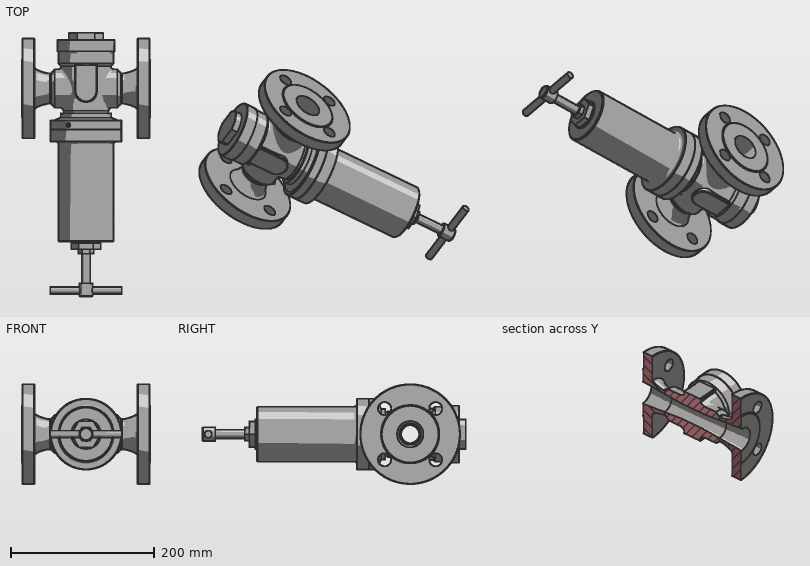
import cadquery as cq
import math


face_to_face = 180.0
flange_dia = 140.0
flange_thickness = 18.0
raised_height = 1.0
raised_dia = 79.0
raised_foot_dia = 82.0
flange_edge = 0.8
bolt_circle_dia = 101.0
bolt_hole_dia = 18.0
bolt_count = 4
bolt_start_angle = 45.0
bore_dia = 25.0
bore_mouth_dia = 37.0
bore_taper_end_x = 20.0
neck_root_dia = 58.0
neck_shoulder_dia = 53.0
neck_shoulder_x = 69.0
neck_dia = 43.0
neck_start_x = 54.0
neck_curve_rise = 1.9
weld_x = 49.8
weld_groove_half_width = 1.2
weld_groove_depth = 0.4

hub_dia = 54.0
hub_start_x = 43.5
hub_fillet = 4.0

body_top_y = 52.0
rim_taper_y = 49.0
rim_dia = 77.4
rim_edge_dia = 78.6
rim_bottom_y = 34.0
rim_chamfer = 1.0
barrel_blend_y = 31.2
barrel_dia = 70.0
waist_top_y = 13.0
waist_dia = 64.0
waist_bottom_y = -20.0
groove_top_y = -31.0
groove_dia = 62.4
collar_top_y = -34.6
collar_dia = 71.0
collar_bottom_y = -40.6
flare_dia = 90.0
joint_flange_dia = 99.5
joint_flange_top_y = -44.5
joint_y = -57.5
joint_top_chamfer = 0.8
joint_line_chamfer = 0.4

pad_height = 36.2
pad_width = 31.0
pad_end_y = -19.0
pad_edge = 1.2

screw_dia = 6.0
screw_length = 8.0
screw_angle = 30.0
screw_y = -51.0
screw_recess = 0.6
screw_hex = 3.0
screw_hex_depth = 2.5

cap_dia = 80.0
cap_top_y = 68.5
cap_chamfer = 0.8
spigot_dia = 48.5
spigot_top_y = 78.0
spigot_flats = 41.6
spigot_chamfer = 0.5

bonnet_flange_bottom_y = -74.5
bonnet_flange_chamfer = 0.8
bonnet_dia = 77.4
bonnet_foot_radius = 3.5
bonnet_bottom_y = -214.5
bonnet_chamfer = 1.6

nut_flats = 36.0
nut_collar_height = 2.0
nut_bottom_y = -225.0
lock_nut_flats = 19.0
lock_nut_bottom_y = -231.0
spindle_dia = 12.5
head_dia = 19.5
head_top_y = -272.4
spindle_bottom_y = -291.0
head_chamfer = 1.5
bar_dia = 10.0
bar_length = 100.0
bar_y = -282.4


def turned(outline):
    """Revolve a closed half-outline in the XY plane about the Y axis."""
    return outline.close().revolve(360, (0, 0, 0), (0, 1, 0))


def rod_y(diameter, start_y, end_y):
    """Round rod along Y between two stations."""
    length = abs(end_y - start_y)
    return cq.Workplane("XZ", origin=(0, max(start_y, end_y), 0)).circle(diameter / 2).extrude(length)


def make_bore():
    """Flow passage through both branches, tapering from each flange face to a straight middle."""
    half = (
        cq.Workplane("XY")
        .moveTo(0, 0)
        .lineTo(0, bore_dia / 2)
        .lineTo(bore_taper_end_x, bore_dia / 2)
        .lineTo(face_to_face / 2, bore_mouth_dia / 2)
        .lineTo(face_to_face / 2, 0)
        .close()
        .revolve(360, (0, 0, 0), (1, 0, 0))
    )
    return half.union(half.mirror("YZ"))


def rod_x(diameter, length):
    """Round rod along X, centred on X = 0, on the pipe axis."""
    return cq.Workplane("YZ").circle(diameter / 2).extrude(length / 2, both=True)


def hexagon(flats, start_y, end_y):
    """Hexagonal bar along Y with two flats facing up and down."""
    corners = flats / math.cos(math.pi / 6)
    return cq.Workplane("XZ", origin=(0, start_y, 0)).polygon(6, corners).extrude(start_y - end_y)


def make_barrel():
    """Waisted middle of the body, running under the rim and down into the collar."""
    down = (0, -1)
    outline = (
        cq.Workplane("XY")
        .moveTo(0, rim_bottom_y)
        .lineTo(rim_dia / 2 - rim_chamfer, rim_bottom_y)
        .lineTo(barrel_dia / 2, barrel_blend_y)
        .lineTo(barrel_dia / 2, waist_top_y)
        .spline([(waist_dia / 2, waist_bottom_y)], tangents=[down, down], includeCurrent=True)
        .lineTo(waist_dia / 2, collar_bottom_y)
        .lineTo(0, collar_bottom_y)
    )
    return turned(outline)


def make_rim():
    """Round rim that carries the end cap."""
    outline = (
        cq.Workplane("XY")
        .moveTo(0, body_top_y)
        .lineTo(rim_edge_dia / 2, body_top_y)
        .lineTo(rim_dia / 2, rim_taper_y)
        .lineTo(rim_dia / 2, rim_bottom_y + rim_chamfer)
        .lineTo(rim_dia / 2 - rim_chamfer, rim_bottom_y)
        .lineTo(0, rim_bottom_y)
    )
    return turned(outline)


def make_joint_end():
    """Collar and flange that meet the bonnet, below a turned groove."""
    flange_r = joint_flange_dia / 2
    outline = (
        cq.Workplane("XY")
        .moveTo(0, groove_top_y)
        .lineTo(groove_dia / 2, groove_top_y)
        .lineTo(groove_dia / 2, collar_top_y)
        .lineTo(collar_dia / 2, collar_top_y)
        .lineTo(collar_dia / 2, collar_bottom_y)
        .lineTo(flare_dia / 2, joint_flange_top_y)
        .lineTo(flange_r - joint_top_chamfer, joint_flange_top_y)
        .lineTo(flange_r, joint_flange_top_y - joint_top_chamfer)
        .lineTo(flange_r, joint_y + joint_line_chamfer)
        .lineTo(flange_r - joint_line_chamfer, joint_y)
        .lineTo(0, joint_y)
    )
    return turned(outline)


def make_pads():
    """Round-ended flat pads on the top and bottom of the barrel."""
    end_radius = pad_width / 2
    straight = rim_bottom_y - (pad_end_y + end_radius)
    pads = (
        cq.Workplane("XY", origin=(0, rim_bottom_y - straight, 0))
        .circle(end_radius)
        .extrude(pad_height, both=True)
    )
    block = cq.Workplane("XY").box(pad_width, straight, 2 * pad_height, centered=(True, False, True))
    pads = pads.union(block.translate((0, rim_bottom_y - straight, 0)))
    return pads.faces(">Z or <Z").chamfer(pad_edge)


def make_hubs():
    """Branch hubs on both sides, coned down to the weld ends of the flanges."""
    tip_r = neck_dia / 2
    groove_x = weld_x - weld_groove_half_width
    half = (
        cq.Workplane("XY")
        .moveTo(0, 0)
        .lineTo(0, hub_dia / 2)
        .lineTo(hub_start_x, hub_dia / 2)
        .lineTo(groove_x, tip_r)
        .lineTo(weld_x, tip_r - weld_groove_depth)
        .lineTo(weld_x, 0)
        .close()
        .revolve(360, (0, 0, 0), (1, 0, 0))
    )
    return half.union(half.mirror("YZ"))


def screw_frame():
    """Workplane on the joint flange, facing outward along the locking screw."""
    angle = math.radians(screw_angle)
    outward = cq.Vector(-math.sin(angle), 0, math.cos(angle))
    centre = outward * (joint_flange_dia / 2) + cq.Vector(0, screw_y, 0)
    return cq.Workplane(cq.Plane(origin=centre, xDir=(0, 1, 0), normal=outward))


def make_body():
    """Valve body: filleted hubs and barrel, then the rim, joint end and pads, bored through."""
    body = make_barrel().union(make_hubs())
    body = body.edges("%BSPLINE").fillet(hub_fillet)
    body = body.cut(rod_y(2 * flange_dia, groove_top_y, joint_y))
    body = body.union(make_joint_end()).union(make_rim()).union(make_pads())
    screw_hole = screw_frame().circle(screw_dia / 2).extrude(-screw_length)
    return body.cut(make_bore()).cut(screw_hole)


def make_flange():
    """Weld-neck flange on the -X side."""
    face_x = face_to_face / 2
    front_x = face_x - raised_height
    back_x = face_x - flange_thickness
    flange_r = flange_dia / 2
    neck_r = neck_dia / 2
    groove_x = weld_x + weld_groove_half_width
    curve_middle = ((neck_start_x + neck_shoulder_x) / 2, neck_r + neck_curve_rise)
    flange = (
        cq.Workplane("XY")
        .moveTo(weld_x, 0)
        .lineTo(weld_x, neck_r - weld_groove_depth)
        .lineTo(groove_x, neck_r)
        .lineTo(neck_start_x, neck_r)
        .threePointArc(curve_middle, (neck_shoulder_x, neck_shoulder_dia / 2))
        .lineTo(back_x, neck_root_dia / 2)
        .lineTo(back_x, flange_r - flange_edge)
        .lineTo(back_x + flange_edge, flange_r)
        .lineTo(front_x - flange_edge, flange_r)
        .lineTo(front_x, flange_r - flange_edge)
        .lineTo(front_x, raised_foot_dia / 2)
        .lineTo(face_x, raised_dia / 2)
        .lineTo(face_x, 0)
        .close()
        .revolve(360, (0, 0, 0), (1, 0, 0))
    )
    bolt_holes = (
        cq.Workplane("YZ")
        .polarArray(bolt_circle_dia / 2, bolt_start_angle, 360, bolt_count)
        .circle(bolt_hole_dia / 2)
        .extrude(face_to_face)
    )
    return flange.cut(bolt_holes).cut(make_bore()).mirror("YZ")


def make_screw():
    """Grub screw locking the body joint, with a hexagon socket."""
    screw = screw_frame().workplane(offset=-screw_recess).circle(screw_dia / 2)
    screw = screw.extrude(screw_recess - screw_length)
    socket = screw_frame().polygon(6, screw_hex / math.cos(math.pi / 6))
    return screw.cut(socket.extrude(-screw_recess - screw_hex_depth))


def make_cap():
    """End cap with a round spigot carrying two spanner flats."""
    cap = rod_y(cap_dia, body_top_y, cap_top_y).faces(">Y").chamfer(cap_chamfer)
    spigot = rod_y(spigot_dia, cap_top_y, spigot_top_y).faces(">Y").chamfer(spigot_chamfer)
    flats = cq.Workplane("XY").box(spigot_dia, 2 * spigot_top_y, spigot_flats)
    return cap.union(spigot.intersect(flats))


def make_bonnet():
    """Spring bonnet with a joint flange at its inner end."""
    flange_r = joint_flange_dia / 2
    barrel_r = bonnet_dia / 2
    foot_y = bonnet_flange_bottom_y - bonnet_foot_radius
    outline = (
        cq.Workplane("XY")
        .moveTo(0, joint_y)
        .lineTo(flange_r - joint_line_chamfer, joint_y)
        .lineTo(flange_r, joint_y - joint_line_chamfer)
        .lineTo(flange_r, bonnet_flange_bottom_y + bonnet_flange_chamfer)
        .lineTo(flange_r - bonnet_flange_chamfer, bonnet_flange_bottom_y)
        .lineTo(barrel_r + bonnet_foot_radius, bonnet_flange_bottom_y)
        .radiusArc((barrel_r, foot_y), -bonnet_foot_radius)
        .lineTo(barrel_r, bonnet_bottom_y + bonnet_chamfer)
        .lineTo(barrel_r - bonnet_chamfer, bonnet_bottom_y)
        .lineTo(0, bonnet_bottom_y)
    )
    return turned(outline)


def make_nut():
    """Large hexagon nut with a round collar against the bonnet."""
    collar_bottom_y = bonnet_bottom_y - nut_collar_height
    collar = rod_y(nut_flats / math.cos(math.pi / 6), bonnet_bottom_y, collar_bottom_y)
    nut = collar.union(hexagon(nut_flats, collar_bottom_y, nut_bottom_y))
    return nut.cut(rod_y(spindle_dia, bonnet_bottom_y, nut_bottom_y))


def make_lock_nut():
    """Thin hexagon nut that locks the spindle against the large nut."""
    nut = hexagon(lock_nut_flats, nut_bottom_y, lock_nut_bottom_y)
    return nut.cut(rod_y(spindle_dia, nut_bottom_y, lock_nut_bottom_y))


def make_bar():
    """Cross bar of the T-handle."""
    return rod_x(bar_dia, bar_length).translate((0, bar_y, 0))


def make_spindle():
    """Adjusting spindle with a thicker head drilled for the cross bar."""
    head = rod_y(head_dia, head_top_y, spindle_bottom_y).faces("<Y").chamfer(head_chamfer)
    spindle = rod_y(spindle_dia, bonnet_bottom_y, head_top_y).union(head)
    return spindle.cut(make_bar())


body = make_body()
flange_left = make_flange()
flange_right = flange_left.mirror("YZ")
screw = make_screw()
cap = make_cap()
bonnet = make_bonnet()
nut = make_nut()
lock_nut = make_lock_nut()
spindle = make_spindle()
bar = make_bar()

bodies = [body, flange_left, flange_right, screw, cap, bonnet, nut, lock_nut, spindle, bar]
result = cq.Compound.makeCompound([part.val() for part in bodies])